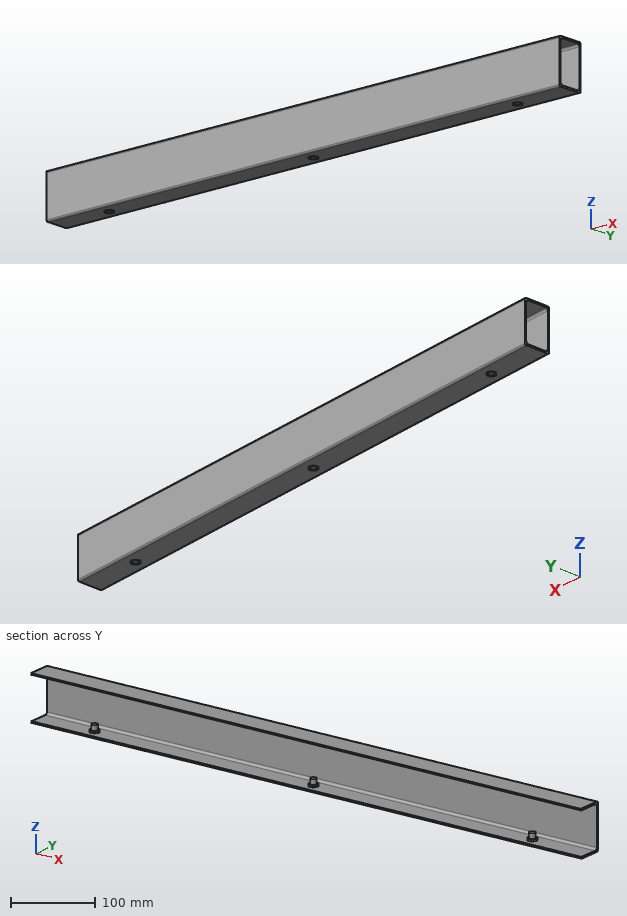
import cadquery as cq

tube_length = 813.0
tube_width = 38.0
tube_height = 63.0
tube_wall = 2.5
outer_radius = 2.5
inner_radius = 3.0

rivet_count = 3
rivet_spacing = 323.5
shank_diameter = 8.0
head_diameter = 12.0
head_thickness = 1.0
collar_diameter = 12.0
collar_thickness = 2.5
rivet_rise = 12.0

rivet_positions = [
    (index - (rivet_count - 1) / 2) * rivet_spacing for index in range(rivet_count)
]


def rounded_bar(width, height, radius):
    """Bar along the full tube length, centred on the tube's axis, with rounded long edges."""
    return (
        cq.Workplane("YZ")
        .center(0, tube_height / 2)
        .rect(width, height)
        .extrude(tube_length / 2, both=True)
        .edges("|X")
        .fillet(radius)
    )


def make_tube():
    """Hollow tube standing on Z = 0, with a hole in its floor for each rivet."""
    bore = rounded_bar(tube_width - 2 * tube_wall, tube_height - 2 * tube_wall, inner_radius)
    rivet_holes = (
        cq.Workplane("XY")
        .pushPoints([(x, 0) for x in rivet_positions])
        .circle(shank_diameter / 2)
        .extrude(tube_wall)
    )
    return rounded_bar(tube_width, tube_height, outer_radius).cut(bore).cut(rivet_holes)


def make_rivet(x):
    """Rivet with a flat head under the floor and a collar that clamps it from inside."""
    head = cq.Workplane("XY").circle(head_diameter / 2).extrude(-head_thickness)
    shank = cq.Workplane("XY").circle(shank_diameter / 2).extrude(rivet_rise)
    collar = (
        cq.Workplane("XY")
        .workplane(offset=tube_wall)
        .circle(collar_diameter / 2)
        .extrude(collar_thickness)
    )
    return head.union(shank).union(collar).translate((x, 0, 0))


tube = make_tube()
rivets = [make_rivet(x) for x in rivet_positions]

result = cq.Compound.makeCompound([tube.val(), *[rivet.val() for rivet in rivets]])